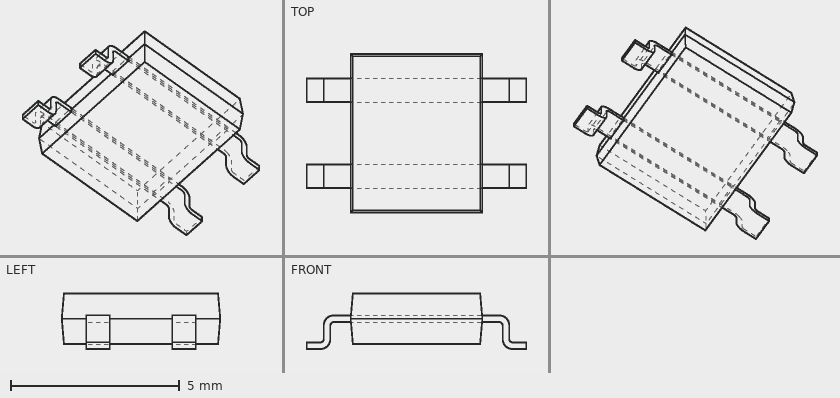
import cadquery as cq

overall_length = 6.5

housing_length = 3.905
housing_width = 4.7
housing_height = 1.5
standoff = 0.15
draft_angle = 5.0
half_height = housing_height / 2
parting_z = standoff + half_height

lead_width = 0.7
lead_thickness = 0.2
lead_pitch = 2.55
foot_length = 0.4
inner_bend_radius = 0.1
outer_bend_radius = inner_bend_radius + lead_thickness
lead_top_z = parting_z + lead_thickness / 2
lead_underside_z = lead_top_z - lead_thickness

tip_x = -overall_length / 2
foot_end_x = tip_x + foot_length
shank_outer_x = foot_end_x + inner_bend_radius
shank_inner_x = shank_outer_x + lead_thickness
strip_start_x = shank_outer_x + outer_bend_radius


def make_lead(center_y):
    """One strip with a gull-wing bend at each end, centred on Y = center_y."""
    half_lead = (
        cq.Workplane("XZ", origin=(0, center_y, 0))
        .moveTo(0, lead_top_z)
        .lineTo(strip_start_x, lead_top_z)
        .tangentArcPoint((shank_outer_x, lead_top_z - outer_bend_radius), relative=False)
        .lineTo(shank_outer_x, lead_thickness + inner_bend_radius)
        .tangentArcPoint((foot_end_x, lead_thickness), relative=False)
        .lineTo(tip_x, lead_thickness)
        .lineTo(tip_x, 0)
        .lineTo(foot_end_x, 0)
        .tangentArcPoint((shank_inner_x, outer_bend_radius), relative=False)
        .lineTo(shank_inner_x, lead_underside_z - inner_bend_radius)
        .tangentArcPoint((strip_start_x, lead_underside_z), relative=False)
        .lineTo(0, lead_underside_z)
        .close()
        .extrude(lead_width / 2, both=True)
    )
    return half_lead.union(half_lead.mirror("YZ"))


def make_housing_half(rise):
    """Half of the housing, tapering away from the parting plane, with channels for the leads."""
    half = (
        cq.Workplane("XY", origin=(0, 0, parting_z))
        .rect(housing_length, housing_width)
        .extrude(rise, taper=draft_angle)
    )
    for lead in leads:
        half = half.cut(lead)
    return half


leads = [make_lead(side * lead_pitch / 2) for side in (-1, 1)]
upper_housing = make_housing_half(half_height)
lower_housing = make_housing_half(-half_height)

bodies = [upper_housing, lower_housing, *leads]
result = cq.Compound.makeCompound([body.solids().val() for body in bodies])